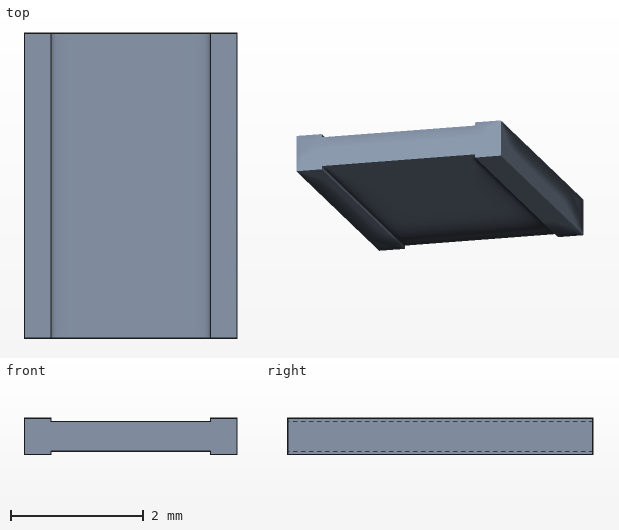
import cadquery as cq

width = 3.2
length = 4.6
height = 0.55

strip_width = 0.4
step_height = 0.05

body_height = height - 2 * step_height
strip_offset = (width - strip_width) / 2

result = cq.Workplane("XY").box(width, length, body_height)

for side in (-1, 1):
    strip = cq.Workplane("XY").box(strip_width, length, height)
    result = result.union(strip.translate((side * strip_offset, 0, 0)))